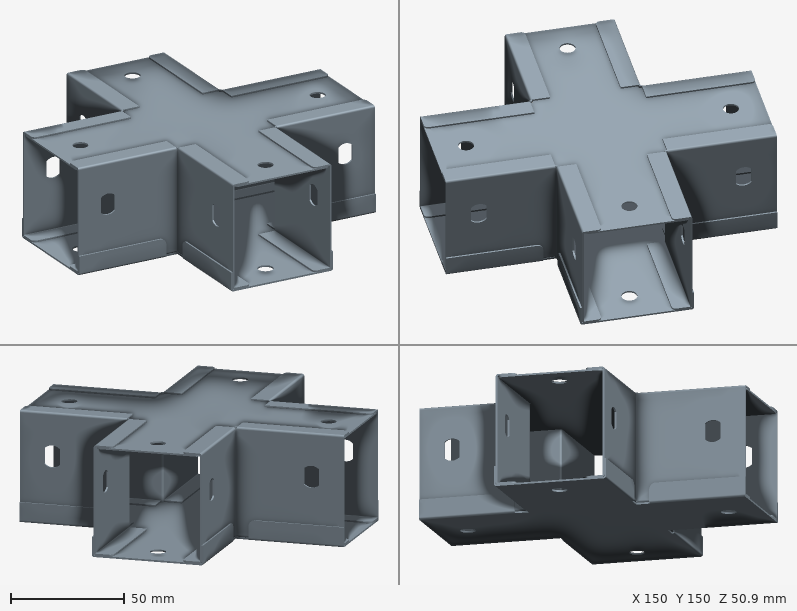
import cadquery as cq
import math


SPAN = 150.0
HEIGHT = 50.9
DUCT_WIDTH = 50.0
SHEET = 0.8
BEND_INSIDE = 0.21

BRACKET_FLANGE = 9.0
BRACKET_FLANGE_GAP = 0.38
BASE_FLANGE = 9.2
BASE_FLANGE_GAP = 6.0
TIP_RADIUS = 2.0
BASE_FLANGE_RADIUS = 3.0

HOLE_DIAMETER = 7.0
SLOT_WIDTH = HOLE_DIAMETER
SLOT_LENGTH = 10.0
FIXING_RADIUS = 60.0
SLOT_DROP = 20.0

ARM_END = SPAN / 2
WALL_OUT = DUCT_WIDTH / 2
WALL_IN = WALL_OUT - SHEET
BEND_OUTSIDE = BEND_INSIDE + SHEET
BRACKET_BOTTOM = SHEET
COVER_TOP = HEIGHT - SHEET
COVER_HALF_WIDTH = WALL_OUT - BEND_OUTSIDE
BASE_OUT = WALL_OUT + SHEET
BASE_FLAT = BASE_OUT - BEND_OUTSIDE
QUARTER_TURNS = (0, 90, 180, 270)
DIAGONAL_NORMAL = cq.Vector(1, -1, 0)


def turned(body, angle):
    """Turn a body about the vertical axis of the crossing."""
    return body.rotate((0, 0, 0), (0, 0, 1), angle)


def along_arm(profile, start):
    """Extrude an XZ profile along +Y from start to the end of the arm."""
    return profile.extrude(-(ARM_END - start)).translate((0, start, 0))


def bar_profile(x_min, x_max, z_min, z_max):
    """Rectangle in the XZ plane, given by its limits."""
    centre = ((x_min + x_max) / 2, (z_min + z_max) / 2)
    return cq.Workplane("XZ").center(*centre).rect(x_max - x_min, z_max - z_min)


def cross_plate(half_width, bottom):
    """Flat cross-shaped plate with square arm ends."""
    long_bar = cq.Workplane("XY").workplane(offset=bottom).rect(SPAN, 2 * half_width).extrude(SHEET)
    return long_bar.union(turned(long_bar, 90))


def drill_arms(plate):
    """Cut one round hole through each arm of a plate."""
    hole_places = cq.Workplane("XY").polarArray(FIXING_RADIUS, 0, 360, len(QUARTER_TURNS))
    return plate.cut(hole_places.circle(HOLE_DIAMETER / 2).extrude(HEIGHT))



def base_flange():
    """Upturned flange with its bend, on the +X side of the +Y arm."""
    start = WALL_OUT + BASE_FLANGE_GAP
    outer = bar_profile(0, BASE_OUT, 0, BASE_FLANGE)
    outer = along_arm(outer, start).edges("|Y and >X and <Z").fillet(BEND_OUTSIDE)
    hollow = bar_profile(0, WALL_OUT, SHEET, BASE_FLANGE)
    hollow = along_arm(hollow, start).edges("|Y and >X and <Z").fillet(BEND_INSIDE)
    flange = outer.cut(hollow)
    return flange.edges("|X and >Z").edges("<Y").fillet(BASE_FLANGE_RADIUS)


def make_base_plate():
    plate = cross_plate(BASE_FLAT, 0)
    right_flange = base_flange()
    left_flange = right_flange.mirror("YZ")
    for angle in QUARTER_TURNS:
        plate = plate.union(turned(right_flange, angle)).union(turned(left_flange, angle))
    return drill_arms(plate)



def make_cover_plate():
    plate = cross_plate(COVER_HALF_WIDTH, COVER_TOP - SHEET)
    for arm_end in ("<X", ">X", "<Y", ">Y"):
        plate = plate.faces(arm_end).edges("|Z").fillet(TIP_RADIUS)
    return drill_arms(plate)



def slot_cutter():
    """Flat-sided slot with shallow round ends, through a wall of the +Y arm."""
    disc = cq.Workplane("YZ").circle(SLOT_LENGTH / 2).extrude(ARM_END)
    slot = disc.intersect(cq.Workplane("XY").box(SPAN, SLOT_WIDTH, SLOT_LENGTH))
    return slot.translate((0, FIXING_RADIUS, HEIGHT - SLOT_DROP))


def bracket_channel():
    """Wall on the +X side of the +Y arm, with its two inward flanges."""
    start = WALL_OUT + BRACKET_FLANGE_GAP
    flange_tip = WALL_OUT - BRACKET_FLANGE
    outer = bar_profile(flange_tip, WALL_OUT, BRACKET_BOTTOM, HEIGHT)
    outer = along_arm(outer, start).edges("|Y and >X").fillet(BEND_OUTSIDE)
    hollow = bar_profile(flange_tip, WALL_IN, BRACKET_BOTTOM + SHEET, HEIGHT - SHEET)
    hollow = along_arm(hollow, start).edges("|Y and >X").fillet(BEND_INSIDE)
    channel = outer.cut(hollow)
    channel = channel.edges("|Z and <X").edges(">Y").fillet(TIP_RADIUS)
    return channel.cut(slot_cutter())


def upright_bend():
    """Full-height upright bend joining the two walls."""
    joint = WALL_OUT + BRACKET_FLANGE_GAP
    bend_centre = WALL_OUT + BEND_INSIDE
    inside_middle = bend_centre - BEND_INSIDE * math.sqrt(0.5)
    outside_middle = bend_centre - BEND_OUTSIDE * math.sqrt(0.5)
    return (
        cq.Workplane("XY")
        .workplane(offset=BRACKET_BOTTOM)
        .moveTo(WALL_OUT, joint)
        .lineTo(WALL_OUT, bend_centre)
        .threePointArc((inside_middle, inside_middle), (bend_centre, WALL_OUT))
        .lineTo(joint, WALL_OUT)
        .lineTo(joint, WALL_IN)
        .lineTo(bend_centre, WALL_IN)
        .threePointArc((outside_middle, outside_middle), (WALL_IN, bend_centre))
        .lineTo(WALL_IN, joint)
        .close()
        .extrude(HEIGHT - BRACKET_BOTTOM)
    )


def make_corner_bracket():
    """Bracket in the +X +Y corner of the crossing."""
    channel = bracket_channel()
    return channel.union(upright_bend()).union(channel.mirror(DIAGONAL_NORMAL))


base_plate = make_base_plate()
cover_plate = make_cover_plate()
corner_bracket = make_corner_bracket()
corner_brackets = [turned(corner_bracket, angle).val() for angle in QUARTER_TURNS]

result = cq.Compound.makeCompound([base_plate.val(), cover_plate.val(), *corner_brackets])